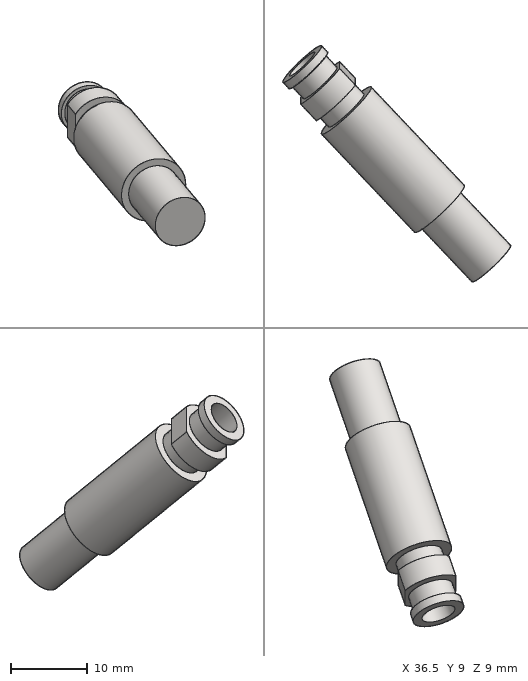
import cadquery as cq
import math

FLANGE_END = 1.15
HEAD_START = 3.45
HEAD_END = 6.5
SLEEVE_START = 8.5
SLEEVE_END = 26.5
TOTAL_LENGTH = 36.5

FLANGE_DIAMETER = 7.0
GROOVE_DIAMETER = 6.05
HEAD_DIAMETER = 8.5
NECK_DIAMETER = 6.35
SLEEVE_DIAMETER = 9.0
TAIL_DIAMETER = FLANGE_DIAMETER
BORE_DIAMETER = 4.53
PILOT_DIAMETER = 2.0

HEAD_ACROSS_FLATS = FLANGE_DIAMETER

PILOT_DEPTH = 7.3
DRILL_POINT_ANGLE = 118.0


def cylinder(start, end, diameter):
    """Cylinder on the X axis between two X positions."""
    return cq.Workplane("YZ", origin=(start, 0, 0)).circle(diameter / 2).extrude(end - start)


def wrench_head():
    """Round head with two flats facing -Y and +Y."""
    length = HEAD_END - HEAD_START
    flats = (
        cq.Workplane("YZ", origin=(HEAD_START, 0, 0))
        .rect(HEAD_ACROSS_FLATS, HEAD_DIAMETER)
        .extrude(length)
    )
    return cylinder(HEAD_START, HEAD_END, HEAD_DIAMETER).intersect(flats)


def make_fitting():
    """Flanged fitting with a wrench head, bored through and seated on the sleeve face."""
    return (
        cylinder(0, FLANGE_END, FLANGE_DIAMETER)
        .union(cylinder(FLANGE_END, HEAD_START, GROOVE_DIAMETER))
        .union(wrench_head())
        .union(cylinder(HEAD_END, SLEEVE_START, NECK_DIAMETER))
        .cut(cylinder(0, SLEEVE_START, BORE_DIAMETER))
    )


def drilled_hole():
    """Blind hole from the sleeve face with a conical end."""
    radius = PILOT_DIAMETER / 2
    point_length = radius / math.tan(math.radians(DRILL_POINT_ANGLE / 2))
    hole_end = SLEEVE_START + PILOT_DEPTH
    return (
        cq.Workplane("XY")
        .moveTo(SLEEVE_START, 0)
        .lineTo(SLEEVE_START, radius)
        .lineTo(hole_end, radius)
        .lineTo(hole_end + point_length, 0)
        .close()
        .revolve(360, (0, 0, 0), (1, 0, 0))
    )


def make_sleeve():
    """Thick sleeve with a narrower tail and a blind hole in its front face."""
    return (
        cylinder(SLEEVE_START, SLEEVE_END, SLEEVE_DIAMETER)
        .union(cylinder(SLEEVE_END, TOTAL_LENGTH, TAIL_DIAMETER))
        .cut(drilled_hole())
    )


fitting = make_fitting()
sleeve = make_sleeve()
result = cq.Compound.makeCompound([fitting.val(), sleeve.val()])